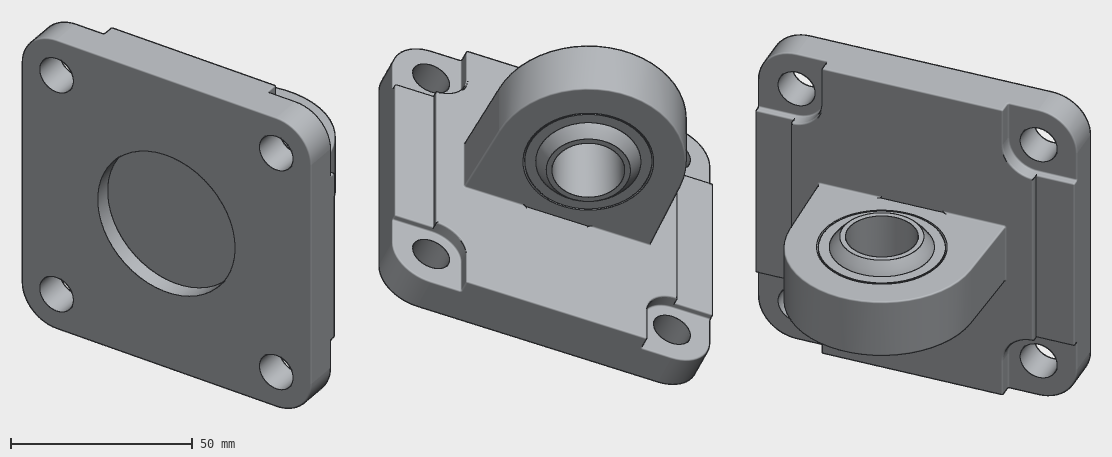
import cadquery as cq
import math

EDGE_FILLET = 0.5

TOLERANCE = 0.01

PLATE_SIDE = 95.0
PLATE_CORNER_RADIUS = 11.5
SIDE_HEIGHT = 12.0
BAND_HEIGHT = 14.0
SEAT_HEIGHT = 10.1
SEAT_CORNER_RADIUS = 9.0
HOLE_DIAMETER = 11.0
HOLE_OFFSET = PLATE_SIDE / 2 - PLATE_CORNER_RADIUS
RECESS_DIAMETER = 45.0
RECESS_DEPTH = 5.0

AXIS_HEIGHT = 36.0
HEAD_RADIUS = 27.0
LUG_THICKNESS = 18.0
LUG_TAPER = math.radians(2)
FOOT_RELIEF_RADIUS = 23.8

RING_DIAMETER = 35.1
BORE_CHAMFER = 0.5
BALL_WIDTH = 25.0
BALL_FACE_DIAMETER = 23.2
BALL_BORE_DIAMETER = 20.0
BALL_RADIUS = math.hypot(BALL_FACE_DIAMETER, BALL_WIDTH) / 2


def slab(width, height, depth):
    """A block centred on X and Z that rises from Y = 0."""
    return cq.Workplane("XY").box(width, height, depth, centered=(True, False, True))


def cylinder_along_y(diameter, length):
    """A cylinder on the Y axis that rises from Y = 0."""
    return cq.Workplane("XZ").circle(diameter / 2).extrude(-length)


def cylinder_on_bearing_axis(diameter, length):
    """A cylinder along Z, centred on the bearing."""
    return (
        cq.Workplane("XY", origin=(0, AXIS_HEIGHT, -length / 2))
        .circle(diameter / 2)
        .extrude(length)
    )


def bearing_sphere():
    """The full sphere of the ball, centred on the bearing."""
    return cq.Workplane("XY", origin=(0, AXIS_HEIGHT, 0)).sphere(BALL_RADIUS)


def for_each_corner(shape, distance):
    """Copies of a shape at the four corners of a square in the XZ plane, as one workplane."""
    copies = cq.Workplane("XY")
    for x_sign in (-1, 1):
        for z_sign in (-1, 1):
            copies = copies.add(shape.translate((x_sign * distance, 0, z_sign * distance)))
    return copies.combine()


def make_bolt_seats():
    """The space above the four bolt seats: open to the plate edges, round at the inner corner."""
    size = PLATE_SIDE / 2
    inner = HOLE_OFFSET - SEAT_CORNER_RADIUS
    seat = slab(size, size, size).edges("|Y").fillet(SEAT_CORNER_RADIUS).translate((0, SEAT_HEIGHT, 0))
    return for_each_corner(seat, inner + size / 2)


def is_rounded_flange_edge(edge):
    """True for all edges but the foot of each band step and the Y edges inside the outline."""
    center = edge.Center()
    reach = max(abs(center.x), abs(center.z))
    runs_along_y = abs(edge.tangentAt(0).y) > 0.95 - TOLERANCE
    if runs_along_y:
        return center.y > SEAT_HEIGHT and reach > HOLE_OFFSET + TOLERANCE
    on_step = abs(abs(center.x) - HOLE_OFFSET) < TOLERANCE
    return not (on_step and abs(center.y - SIDE_HEIGHT) < TOLERANCE)


def make_flange():
    """Plate with a raised middle band, four bolt seats with holes, and a round front recess."""
    plate = slab(PLATE_SIDE, SIDE_HEIGHT, PLATE_SIDE).edges("|Y").fillet(PLATE_CORNER_RADIUS)
    band = slab(2 * HOLE_OFFSET, BAND_HEIGHT, PLATE_SIDE)
    flange = plate.union(band).cut(make_bolt_seats())
    flange = flange.edges().filter(is_rounded_flange_edge).fillet(EDGE_FILLET)
    holes = for_each_corner(cylinder_along_y(HOLE_DIAMETER, BAND_HEIGHT), HOLE_OFFSET)
    return flange.cut(holes).cut(cylinder_along_y(RECESS_DIAMETER, RECESS_DEPTH))


def make_lug():
    """Eye with tapered flanks that run tangent into the round head."""
    tangent_x = HEAD_RADIUS * math.cos(LUG_TAPER)
    tangent_y = AXIS_HEIGHT + HEAD_RADIUS * math.sin(LUG_TAPER)
    foot_x = tangent_x + (tangent_y - BAND_HEIGHT) * math.tan(LUG_TAPER)
    return (
        cq.Workplane("XY", origin=(0, 0, -LUG_THICKNESS / 2))
        .moveTo(-foot_x, BAND_HEIGHT)
        .lineTo(-tangent_x, tangent_y)
        .threePointArc((0, AXIS_HEIGHT + HEAD_RADIUS), (tangent_x, tangent_y))
        .lineTo(foot_x, BAND_HEIGHT)
        .close()
        .extrude(LUG_THICKNESS)
        .faces("<Z or >Z")
        .edges("not <Y")
        .fillet(EDGE_FILLET)
    )


def make_foot_relief():
    """Thin discs beside the lug that clear the middle of the foot fillets, above the band."""
    discs = cylinder_on_bearing_axis(2 * FOOT_RELIEF_RADIUS, LUG_THICKNESS + 2 * EDGE_FILLET)
    lug_core = slab(PLATE_SIDE, PLATE_SIDE, LUG_THICKNESS)
    return discs.cut(lug_core).cut(slab(PLATE_SIDE, BAND_HEIGHT, PLATE_SIDE))


def is_lug_foot_edge(edge):
    """True for the edges where the lug rises from the band."""
    center = edge.Center()
    on_band = abs(center.y - BAND_HEIGHT) < TOLERANCE
    inside_band_rim = abs(center.x) < HOLE_OFFSET - 2 * EDGE_FILLET
    return on_band and inside_band_rim and abs(center.z) < LUG_THICKNESS / 2 + TOLERANCE


def is_bore_rim(edge):
    """True for the two circles where the ring bore meets the lug faces."""
    return edge.geomType() == "CIRCLE" and abs(edge.radius() - RING_DIAMETER / 2) < TOLERANCE


def make_housing():
    """Flange and lug in one piece, with a chamfered bore for the outer ring."""
    housing = make_flange().union(make_lug())
    housing = housing.edges().filter(is_lug_foot_edge).fillet(EDGE_FILLET)
    housing = housing.cut(make_foot_relief())
    housing = housing.cut(cylinder_on_bearing_axis(RING_DIAMETER, LUG_THICKNESS))
    return housing.edges().filter(is_bore_rim).chamfer(BORE_CHAMFER)


def make_ring():
    """Outer ring with a spherical seat for the ball."""
    return cylinder_on_bearing_axis(RING_DIAMETER, LUG_THICKNESS).cut(bearing_sphere())


def make_ball():
    """Sphere with two flat ends and a through bore."""
    return (
        bearing_sphere()
        .intersect(cylinder_on_bearing_axis(2 * BALL_RADIUS, BALL_WIDTH))
        .cut(cylinder_on_bearing_axis(BALL_BORE_DIAMETER, BALL_WIDTH))
    )


housing = make_housing()
ring = make_ring()
ball = make_ball()

result = cq.Compound.makeCompound([housing.val(), ring.val(), ball.val()])